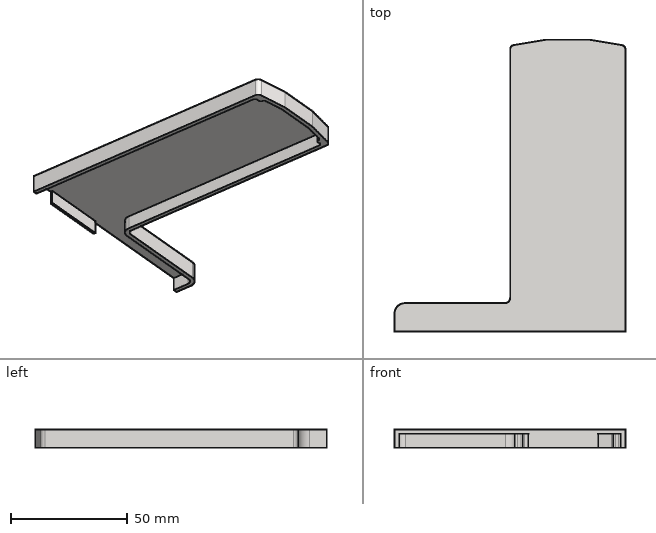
import cadquery as cq
import math

total_width = 99.5
total_length = 125.6
total_height = 8.0

body_width = 49.7
arm_depth = 12.3
arm_corner_radius = 4.6
junction_radius = 2.1
end_flat_width = 19.1
end_slope_run = 6.0
end_corner_radius = 2.0

wall = 2.0
top_thickness = 1.9

lip_right_gap = 11.8
lip_width = 30.0
lip_thickness = 1.0

shoulder_width = 3.4
shoulder_drop = 2.0
shoulder_corner_radius = 1.1
shoulder_blend_radius = 0.9

body_left = total_width - body_width
body_center = total_width - body_width / 2
cavity_height = total_height - top_thickness


def end_y(x):
    """Y of the outer far end at a given X."""
    beyond_flat = max(0, abs(x - body_center) - end_flat_width / 2)
    return total_length - beyond_flat / end_slope_run


def prism(points, height):
    return cq.Workplane("XY").polyline(points).close().extrude(height)


def round_corner(solid, point, radius):
    """Round the vertical edge standing at a plan point."""
    x, y = point
    tolerance = 0.01
    picker = cq.selectors.BoxSelector(
        (x - tolerance, y - tolerance, -1.3),
        (x + tolerance, y + tolerance, total_height + 1.3),
        boundingbox=False,
    )
    return solid.edges("|Z").edges(picker).fillet(radius)


def make_outer_block():
    arm_corner = (0, arm_depth)
    junction = (body_left, arm_depth)
    far_left = (body_left, end_y(body_left))
    far_right = (total_width, end_y(total_width))
    block = prism(
        [
            (0, 0),
            arm_corner,
            junction,
            far_left,
            (body_center - end_flat_width / 2, total_length),
            (body_center + end_flat_width / 2, total_length),
            far_right,
            (total_width, 0),
        ],
        total_height,
    )
    block = round_corner(block, arm_corner, arm_corner_radius)
    block = round_corner(block, junction, junction_radius)
    for corner in (far_left, far_right):
        block = round_corner(block, corner, end_corner_radius)
    return block


def make_cavity():
    """Space under the top plate, open at the front and at the bottom."""
    slope_angle = math.atan(1 / end_slope_run)
    slope_inset = wall / math.cos(slope_angle)
    flat_half = end_flat_width / 2 - wall * math.tan(slope_angle / 2)
    inner_half = body_width / 2 - wall
    step_half = inner_half - shoulder_width
    step_y = end_y(body_center + step_half) - slope_inset
    shoulder_y = step_y - shoulder_drop

    inner_left = body_center - inner_half
    inner_right = body_center + inner_half
    arm_corner = (wall, arm_depth - wall)
    junction = (inner_left, arm_depth - wall)
    cavity = prism(
        [
            (wall, 0),
            arm_corner,
            junction,
            (inner_left, shoulder_y),
            (body_center - step_half, shoulder_y),
            (body_center - step_half, step_y),
            (body_center - flat_half, total_length - wall),
            (body_center + flat_half, total_length - wall),
            (body_center + step_half, step_y),
            (body_center + step_half, shoulder_y),
            (inner_right, shoulder_y),
            (inner_right, 0),
        ],
        cavity_height,
    )
    cavity = round_corner(cavity, arm_corner, arm_corner_radius - wall)
    cavity = round_corner(cavity, junction, junction_radius + wall)
    for side in (-1, 1):
        wall_corner = (body_center + side * inner_half, shoulder_y)
        shoulder_edge = (body_center + side * step_half, shoulder_y)
        step_corner = (body_center + side * step_half, step_y)
        cavity = round_corner(cavity, wall_corner, shoulder_corner_radius)
        cavity = round_corner(cavity, shoulder_edge, shoulder_blend_radius)
        cavity = round_corner(cavity, step_corner, shoulder_blend_radius)
    return cavity


def make_front_lip():
    lip_left = total_width - lip_right_gap - lip_width
    return (
        cq.Workplane("XY")
        .box(lip_width, lip_thickness, total_height, centered=False)
        .translate((lip_left, 0, 0))
    )


result = make_outer_block().cut(make_cavity()).union(make_front_lip())